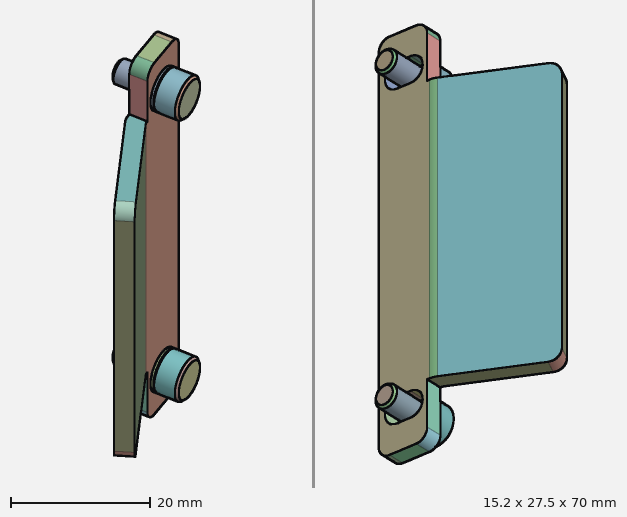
import cadquery as cq
import math

LENGTH = 70.0
THICKNESS = 3.0
STRIP_WIDTH = 9.0
CORNER_RADIUS = 2.0
BEND_START = 9.45
BEND_ANGLE = math.radians(25)
BEND_INNER_RADIUS = 0.1
BRACKET_DEPTH = 27.45
WING_INSET = 10.0

SLOT_LENGTH = 7.0
SLOT_WIDTH = 4.5
SLOT_EDGE_DISTANCE = 4.7
SLOT_END_DISTANCE = 7.0

SHANK_DIAMETER = 4.0
SHANK_PROTRUSION = 4.4
SHANK_CHAMFER = 0.4
HEAD_DIAMETER = 7.0
HEAD_HEIGHT = 4.0
HEAD_CHAMFER = 0.4
HEAD_SEAT_CHAMFER = 0.15
WASHER_DIAMETER = 7.0
WASHER_HOLE_DIAMETER = 4.3
WASHER_THICKNESS = 0.5

SCREW_Y = -SLOT_EDGE_DISTANCE
SCREW_Z = LENGTH / 2 - SLOT_END_DISTANCE
SCREW_POSITIONS = [(SCREW_Y, SCREW_Z), (SCREW_Y, -SCREW_Z)]


def make_strip():
    return (
        cq.Workplane("YZ")
        .center(-STRIP_WIDTH / 2, 0)
        .rect(STRIP_WIDTH, LENGTH)
        .extrude(THICKNESS)
        .edges("|X")
        .fillet(CORNER_RADIUS)
    )


def make_wing():
    """Constant-thickness bent section, with both far corners rounded."""
    height = LENGTH - 2 * WING_INSET
    outer_radius = THICKNESS + BEND_INNER_RADIUS

    def bend_point(radius, angle):
        return (outer_radius - radius * math.cos(angle), -BEND_START - radius * math.sin(angle))

    outer_end = bend_point(outer_radius, BEND_ANGLE)
    inner_end = bend_point(BEND_INNER_RADIUS, BEND_ANGLE)
    wing_length = (BRACKET_DEPTH + outer_end[1]) / math.cos(BEND_ANGLE)
    step_x = wing_length * math.sin(BEND_ANGLE)
    step_y = -wing_length * math.cos(BEND_ANGLE)
    root_y = -STRIP_WIDTH / 2

    wing = (
        cq.Workplane("XY", origin=(0, 0, -height / 2))
        .moveTo(0, root_y)
        .lineTo(0, -BEND_START)
        .threePointArc(bend_point(outer_radius, BEND_ANGLE / 2), outer_end)
        .line(step_x, step_y)
        .lineTo(inner_end[0] + step_x, inner_end[1] + step_y)
        .lineTo(*inner_end)
        .threePointArc(bend_point(BEND_INNER_RADIUS, BEND_ANGLE / 2), (THICKNESS, -BEND_START))
        .lineTo(THICKNESS, root_y)
        .close()
        .extrude(height)
    )
    wing_direction = cq.Vector(math.sin(BEND_ANGLE), -math.cos(BEND_ANGLE), 0)
    end_face = wing.faces(cq.selectors.DirectionMinMaxSelector(wing_direction))
    corner_edges = end_face.edges("<Z or >Z")
    return corner_edges.fillet(CORNER_RADIUS)


def make_bracket():
    slots = (
        cq.Workplane("YZ")
        .pushPoints(SCREW_POSITIONS)
        .slot2D(SLOT_LENGTH, SLOT_WIDTH)
        .extrude(THICKNESS)
    )
    return make_strip().union(make_wing()).cut(slots)


def make_washer(y, z):
    return (
        cq.Workplane("YZ", origin=(THICKNESS, y, z))
        .circle(WASHER_DIAMETER / 2)
        .circle(WASHER_HOLE_DIAMETER / 2)
        .extrude(WASHER_THICKNESS)
    )


def make_screw(y, z):
    head_seat = THICKNESS + WASHER_THICKNESS
    shank = (
        cq.Workplane("YZ", origin=(-SHANK_PROTRUSION, y, z))
        .circle(SHANK_DIAMETER / 2)
        .extrude(SHANK_PROTRUSION + head_seat)
        .faces("<X")
        .chamfer(SHANK_CHAMFER)
    )
    head = (
        cq.Workplane("YZ", origin=(head_seat, y, z))
        .circle(HEAD_DIAMETER / 2)
        .extrude(HEAD_HEIGHT)
        .faces(">X")
        .chamfer(HEAD_CHAMFER)
        .faces("<X")
        .chamfer(HEAD_SEAT_CHAMFER)
    )
    return shank.union(head)


bracket = make_bracket()
washers = [make_washer(y, z).val() for y, z in SCREW_POSITIONS]
screws = [make_screw(y, z).val() for y, z in SCREW_POSITIONS]

result = cq.Compound.makeCompound([bracket.val(), *washers, *screws])